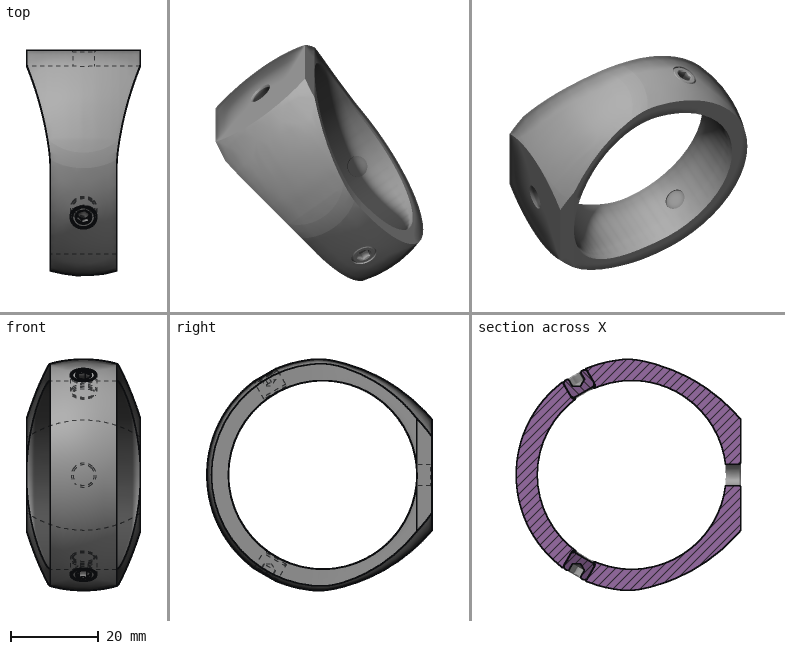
import cadquery as cq
import math

bore_radius = 21.5
band_radius = 26.5
band_width = 15.2

head_width = 26.0
head_face_y = 25.0
head_straight_y = 21.5
flank_radius = 40.0
flank_crown_radius = 36.0
flank_face_half_height = 12.6
flank_fall = band_radius - flank_face_half_height
flank_chord = math.hypot(head_face_y, flank_fall)
flank_chord_offset = math.sqrt(flank_radius**2 - (flank_chord / 2) ** 2)
flank_axis_y = head_face_y / 2 - flank_chord_offset * flank_fall / flank_chord
flank_axis_z = (
    (band_radius + flank_face_half_height) / 2 - flank_chord_offset * head_face_y / flank_chord
)

flank_takeover_y = 10.0

side_blend_radius = 38.0
side_blend_start_y = -2.5
side_blend_end_y = 2.8
crown_blend_radius = 14.0

hole_diameter = 4.8
head_hole_chamfer = 0.4
chamfer_angle = 45.0
screw_angles = (120.0, 240.0)

screw_diameter = 6.0
screw_length = 4.5
screw_recess = 0.2
screw_top = band_radius - screw_recess
screw_seat = screw_top - screw_length
screw_chamfer = 0.45
socket_width = 3.0
socket_depth = 2.0
socket_corner_radius = socket_width / math.sqrt(3)
socket_tip_angle = 120.0
socket_lead_in_radius = 1.8
socket_turns = (-15.0, 5.0)


def crowned_solid(radius, crown_radius, axis_y, axis_z):
    """A barrel around an axis parallel to X, with its largest radius at X = 0."""
    half_width = head_width / 2
    edge_radius = radius - crown_radius + math.sqrt(crown_radius**2 - half_width**2)
    return (
        cq.Workplane("XY")
        .moveTo(-half_width, 0)
        .lineTo(-half_width, -edge_radius)
        .threePointArc((0, -radius), (half_width, -edge_radius))
        .lineTo(half_width, 0)
        .close()
        .revolve(360, (0, 0, 0), (1, 0, 0))
        .translate((0, axis_y, axis_z))
    )


def plan_prism():
    """The outline seen along Z: narrow band, flaring sides and parallel head sides."""
    half_band = band_width / 2
    half_head = head_width / 2

    def blend_x(y):
        rise = y - side_blend_start_y
        return half_band + side_blend_radius - math.sqrt(side_blend_radius**2 - rise**2)

    half_outline = (
        cq.Workplane("XY")
        .workplane(offset=-band_radius)
        .moveTo(0, -band_radius)
        .lineTo(half_band, -band_radius)
        .lineTo(half_band, side_blend_start_y)
        .threePointArc((blend_x(0), 0), (blend_x(side_blend_end_y), side_blend_end_y))
        .tangentArcPoint((half_head, head_straight_y), relative=False)
        .lineTo(half_head, head_face_y)
        .lineTo(0, head_face_y)
    )
    return half_outline.mirrorY().extrude(2 * band_radius)


def ring_blank():
    """The outside of the ring: band and head, trimmed by the flanks and by the plan outline."""
    band = crowned_solid(band_radius, band_radius, 0, 0)
    head_length = head_face_y - flank_takeover_y
    head_middle_y = (head_face_y + flank_takeover_y) / 2
    head_block = cq.Workplane("XY").box(head_width, head_length, 2 * band_radius)
    head_block = head_block.translate((0, head_middle_y, 0))
    blank = band.union(head_block)
    for side in (1, -1):
        flank = crowned_solid(flank_radius, flank_crown_radius, flank_axis_y, side * flank_axis_z)
        blank = blank.intersect(flank)
    blank = blank.intersect(plan_prism())
    junction_zone = cq.selectors.BoxSelector(
        (-band_width / 4, -band_radius / 2, -band_radius),
        (band_width / 4, flank_takeover_y / 2, band_radius),
    )
    return blank.edges(junction_zone).fillet(crown_blend_radius)


def radial_cylinder(diameter, start, length):
    """A cylinder along +Y, beginning at a given distance from the bore axis."""
    return cq.Workplane("XZ", origin=(0, start, 0)).circle(diameter / 2).extrude(-length)


def inward_cone(base_radius, base_y, half_angle):
    """A cone along -Y, narrowing to a point toward the bore axis."""
    height = base_radius / math.tan(math.radians(half_angle))
    base = cq.Vector(0, base_y, 0)
    return cq.Workplane(cq.Solid.makeCone(base_radius, 0, height, base, cq.Vector(0, -1, 0)))


def turn_about_bore(body, angle):
    return body.rotate((0, 0, 0), (1, 0, 0), angle)


def build_ring():
    bore = cq.Workplane("YZ").circle(bore_radius).extrude(head_width / 2, both=True)
    through_hole = radial_cylinder(hole_diameter, 0, 2 * band_radius)
    head_hole_mouth = inward_cone(hole_diameter / 2 + head_hole_chamfer, head_face_y, chamfer_angle)
    screw_pocket = radial_cylinder(screw_diameter, screw_seat, 2 * screw_length)

    ring = ring_blank().cut(bore).cut(through_hole).cut(head_hole_mouth)
    for angle in screw_angles:
        ring = ring.cut(turn_about_bore(through_hole.union(screw_pocket), angle))
    return ring


def build_screw(angle, socket_turn):
    shank = radial_cylinder(screw_diameter, screw_seat, screw_length)
    screw = shank.faces("<Y or >Y").chamfer(screw_chamfer)
    socket = (
        cq.Workplane("XZ", origin=(0, screw_top, 0))
        .transformed(rotate=(0, 0, socket_turn))
        .polygon(6, 2 * socket_corner_radius)
        .extrude(socket_depth)
    )
    socket_tip = inward_cone(socket_width / 2, screw_top - socket_depth, socket_tip_angle / 2)
    lead_in = inward_cone(socket_lead_in_radius, screw_top, chamfer_angle)
    return turn_about_bore(screw.cut(socket).cut(socket_tip).cut(lead_in), angle)


ring = build_ring()
screws = [build_screw(angle, turn) for angle, turn in zip(screw_angles, socket_turns)]
result = cq.Compound.makeCompound([ring.val(), *[screw.val() for screw in screws]])